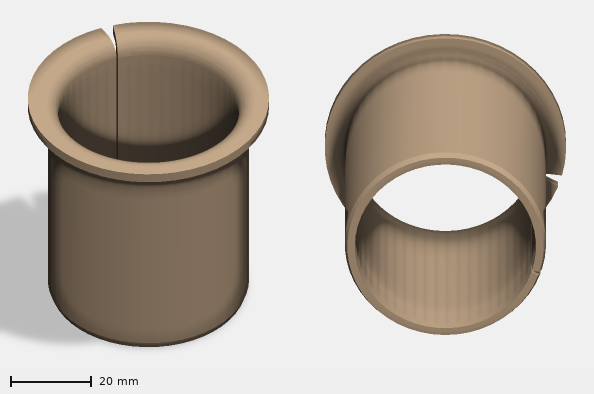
import cadquery as cq
import math

height = 60.0
flange_radius = 30.0
bore_radius = 22.5
wall = 2.5
mouth_radius = 4.5
chamfer_height = 1.8
chamfer_angle = 20.0
slit_rim_width = 3.1
slit_tip_width = 0.3
slit_overlap = 0.05

tube_radius = bore_radius + wall
bend_center_radius = bore_radius + mouth_radius
bend_center_z = height - mouth_radius
under_flange_radius = mouth_radius - wall
slit_inner_radius = bore_radius - slit_overlap
chamfer_inset = chamfer_height * math.tan(math.radians(chamfer_angle))
cos_45 = math.cos(math.radians(45))


def bend_middle(radius):
    """Midpoint of a quarter arc about the center of the flange bend."""
    return (bend_center_radius - radius * cos_45, bend_center_z + radius * cos_45)


def flanged_tube():
    """Constant-wall sleeve whose top bends outward into a flange."""
    profile = (
        cq.Workplane("XZ")
        .moveTo(bore_radius, 0)
        .lineTo(tube_radius - chamfer_inset, 0)
        .lineTo(tube_radius, chamfer_height)
        .lineTo(tube_radius, bend_center_z)
        .threePointArc(bend_middle(under_flange_radius), (bend_center_radius, height - wall))
        .lineTo(flange_radius, height - wall)
        .lineTo(flange_radius, height)
        .lineTo(bend_center_radius, height)
        .threePointArc(bend_middle(mouth_radius), (bore_radius, bend_center_z))
        .close()
    )
    sleeve = profile.revolve(360, (0, 0, 0), (0, 1, 0))
    return sleeve.rotate((0, 0, 0), (0, 0, 1), 180)


def wedge_slit():
    """Gap along the full length on the -X side, widening from the bore to the flange rim."""
    return (
        cq.Workplane("XY")
        .polyline([
            (-slit_inner_radius, -slit_tip_width / 2),
            (-flange_radius, -slit_rim_width / 2),
            (-flange_radius, slit_rim_width / 2),
            (-slit_inner_radius, slit_tip_width / 2),
        ])
        .close()
        .extrude(height)
    )


result = flanged_tube().cut(wedge_slit())